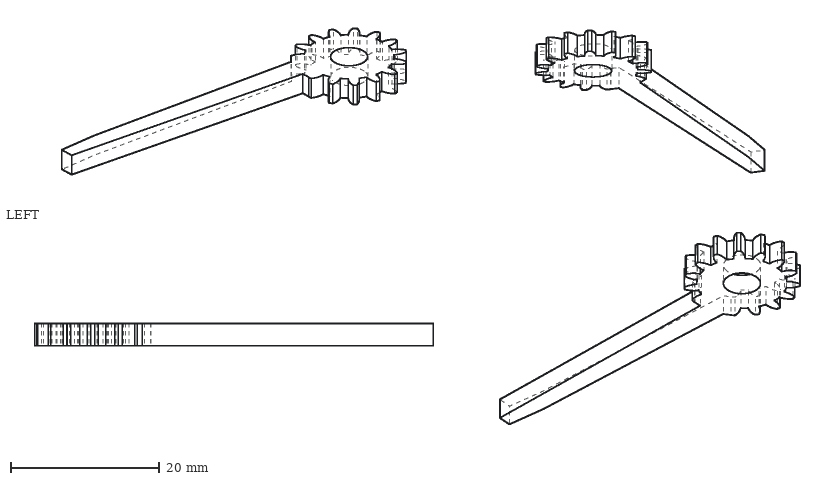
import cadquery as cq
import math

overall_length = 53.85
thickness = 3.0

tooth_count = 15
tip_radius = 7.85
root_radius = 6.1
bore_diameter = 5.0
tooth_pitch = 360.0 / tooth_count
first_tooth_angle = tooth_pitch / 2

root_half_width = 0.75
flank_radius = 7.05
flank_half_width = 0.65
tip_half_width = 0.25
root_overlap = 0.55

top_tooth_tilt = math.radians(90 - (first_tooth_angle + 3 * tooth_pitch))
gear_top = tip_radius * math.cos(top_tooth_tilt) + tip_half_width * math.sin(top_tooth_tilt)

arm_end_y = gear_top - overall_length
arm_left_x = -6.85
arm_end_right_x = -4.8
arm_knee_y = -40.05
arm_left_top = (-4.2, -6.7)
arm_right_top = (-0.65, -7.8)

web_left_tooth = 228.0
web_right_tooth = 276.0


def polar(radius, angle):
    a = math.radians(angle)
    return (radius * math.cos(a), radius * math.sin(a))


def make_tooth(angle):
    """One tooth with bulging flanks, pointing along the given angle."""
    base = root_radius - root_overlap
    tooth = (
        cq.Workplane("XY")
        .moveTo(base, -root_half_width)
        .lineTo(root_radius, -root_half_width)
        .threePointArc((flank_radius, -flank_half_width), (tip_radius, -tip_half_width))
        .lineTo(tip_radius, tip_half_width)
        .threePointArc((flank_radius, flank_half_width), (root_radius, root_half_width))
        .lineTo(base, root_half_width)
        .close()
        .extrude(thickness)
    )
    return tooth.rotate((0, 0, 0), (0, 0, 1), angle)


def make_gear():
    gear = cq.Workplane("XY").circle(root_radius).extrude(thickness)
    for i in range(tooth_count):
        gear = gear.union(make_tooth(first_tooth_angle + i * tooth_pitch))
    return gear


def make_arm():
    """Tapered arm whose upper end runs into the gear at the origin."""
    outline = [
        (0, 0),
        arm_left_top,
        (arm_left_x, arm_knee_y),
        (arm_left_x, arm_end_y),
        (arm_end_right_x, arm_end_y),
        arm_right_top,
    ]
    return cq.Workplane("XY").polyline(outline).close().extrude(thickness)


def make_web():
    """Fill between the arm and the centre lines of the teeth on either side of it."""
    outline = [
        (0, 0),
        polar(tip_radius, web_left_tooth),
        arm_left_top,
        arm_right_top,
        polar(tip_radius, web_right_tooth),
    ]
    return cq.Workplane("XY").polyline(outline).close().extrude(thickness)


bore = cq.Workplane("XY").circle(bore_diameter / 2).extrude(thickness)

result = make_gear().union(make_arm()).union(make_web()).cut(bore)